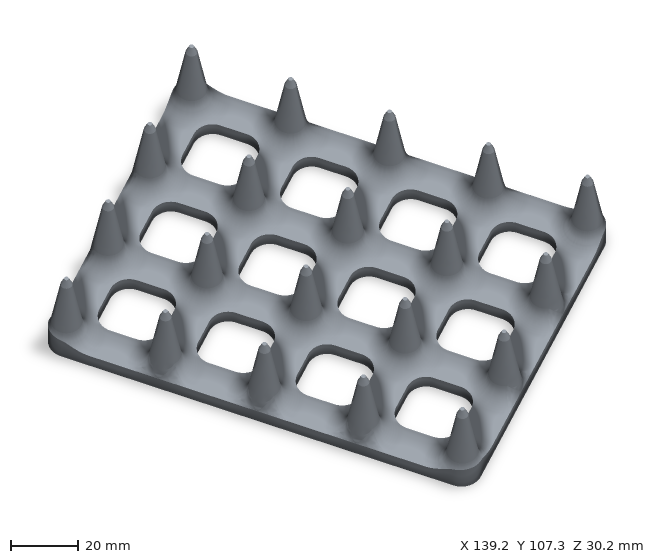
import cadquery as cq
import math

length = 139.2
width = 107.3
plate_thickness = 4.6
edge_margin = 5.7
corner_radius = 6.3
columns = 5
rows = 4
pitch_x = (length - 2 * edge_margin) / (columns - 1)
pitch_y = (width - 2 * edge_margin) / (rows - 1)

bar_width = 11.3
window_corner_radius = 6.1

total_height = 30.2
shoulder_height = 27.5
tip_radius = 0.7
shoulder_radius = 1.8
foot_clearance = 0.01
base_radius = edge_margin - foot_clearance
flare_radius = 6.5

cone_tilt = math.atan((base_radius - shoulder_radius) / (shoulder_height - plate_thickness))
foot_reach = flare_radius * math.tan((math.pi / 2 - cone_tilt) / 2)
foot_radius = base_radius + foot_reach
flare_center_height = plate_thickness + flare_radius


def on_flare(angle):
    """Point of the flare arc, with the angle measured downward from the inward horizontal."""
    return (
        foot_radius - flare_radius * math.cos(angle),
        flare_center_height - flare_radius * math.sin(angle),
    )


def make_spike(flared):
    """Spike on the Z axis, rising from the plate bottom so that it merges with the plate."""
    outline = cq.Workplane("XZ").lineTo(0, total_height).lineTo(tip_radius, total_height)
    outline = outline.lineTo(shoulder_radius, shoulder_height)
    if flared:
        middle_angle = (cone_tilt + math.pi / 2) / 2
        outline = outline.lineTo(*on_flare(cone_tilt))
        outline = outline.threePointArc(on_flare(middle_angle), (foot_radius, plate_thickness))
        outline = outline.lineTo(foot_radius, 0)
    else:
        outline = outline.lineTo(base_radius, plate_thickness).lineTo(base_radius, 0)
    return outline.close().revolve(360, (0, 0, 0), (0, 1, 0)).val()


def make_block(height):
    """Upright block with the plate's rounded outline."""
    block = cq.Workplane("XY").box(length, width, height, centered=(True, True, False))
    return block.edges("|Z").fillet(corner_radius)


def spike_spots():
    """Axis position of every spike, and whether it stands midway along a plate side."""
    for column in range(columns):
        for row in range(rows):
            x = (column - (columns - 1) / 2) * pitch_x
            y = (row - (rows - 1) / 2) * pitch_y
            on_x_side = column in (0, columns - 1)
            on_y_side = row in (0, rows - 1)
            yield cq.Vector(x, y, 0), on_x_side != on_y_side


spots = list(spike_spots())
side_spots = [spot for spot, midway in spots if midway]
other_spots = [spot for spot, midway in spots if not midway]

body = make_block(plate_thickness)
for spot in side_spots:
    body = body.union(cq.Workplane(make_spike(flared=False).translate(spot)))
foot_rise = cq.Vector(0, 0, plate_thickness)
match_tolerance = 0.01
foot_edges = [
    edge
    for edge in body.edges("%CIRCLE").vals()
    if any((edge.Center() - spot - foot_rise).Length < match_tolerance for spot in side_spots)
]
body = body.newObject(foot_edges).fillet(flare_radius)

full_spikes = cq.Workplane("XY")
for spot in other_spots:
    full_spikes = full_spikes.add(make_spike(flared=True).translate(spot))
full_spikes = full_spikes.combine()
body = body.union(full_spikes.intersect(make_block(total_height)))

windows = (
    cq.Workplane("XY")
    .rarray(pitch_x, pitch_y, columns - 1, rows - 1)
    .rect(pitch_x - bar_width, pitch_y - bar_width)
    .extrude(total_height)
    .edges("|Z")
    .fillet(window_corner_radius)
)
result = body.cut(windows)